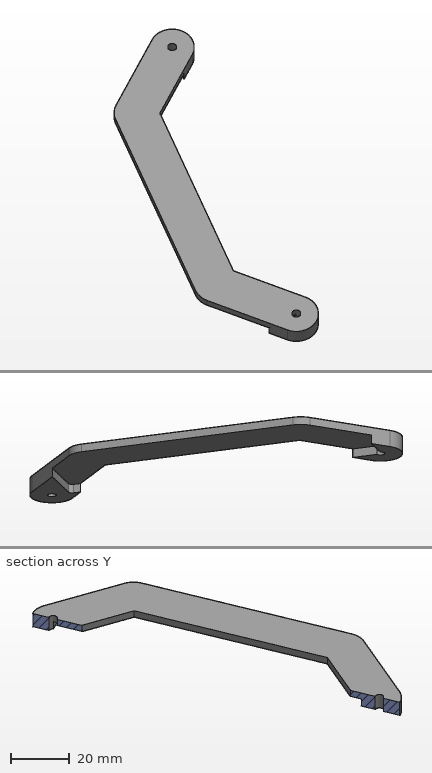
import cadquery as cq
import math

length = 134.0
depth = 36.2
half_width = 7.5
arm_angle = 45.0
hole_diameter = 3.0

thickness = 5.9
plate_thickness = 2.8
recess_depth = thickness - plate_thickness

hole_x = length / 2 - half_width
hole_y = depth - half_width
knee_y = half_width
knee_x = hole_x - (hole_y - knee_y)

recess_left = -53.2
recess_right = 59.9
recess_top = 29.0
recess_corner_radius = 1.3


def bracket(height):
    """Bent bar with round arm ends, rounded outer knees and sharp inner knees."""
    diagonal = half_width * math.sin(math.radians(arm_angle))
    outer_bend = half_width * math.tan(math.radians(arm_angle / 2))
    inner_bend_x = knee_x - outer_bend
    return (
        cq.Workplane("XY")
        .moveTo(-inner_bend_x, knee_y + half_width)
        .lineTo(-hole_x + diagonal, hole_y + diagonal)
        .threePointArc((-hole_x - diagonal, hole_y + diagonal), (-hole_x - diagonal, hole_y - diagonal))
        .lineTo(-knee_x - outer_bend, 0)
        .lineTo(knee_x + outer_bend, 0)
        .lineTo(hole_x + diagonal, hole_y - diagonal)
        .threePointArc((hole_x + diagonal, hole_y + diagonal), (hole_x - diagonal, hole_y + diagonal))
        .lineTo(inner_bend_x, knee_y + half_width)
        .close()
        .extrude(height)
        .edges("|Z").edges("<Y")
        .fillet(half_width)
    )


def recess():
    """Rectangular cutter, open at the bar side, with one rounded corner at the top left."""
    top_left = (recess_left, recess_top, recess_depth / 2)
    return (
        cq.Workplane("XY")
        .rect(recess_right - recess_left, recess_top, centered=False)
        .extrude(recess_depth)
        .translate((recess_left, 0, 0))
        .edges(cq.selectors.NearestToPointSelector(top_left))
        .fillet(recess_corner_radius)
    )


def holes():
    """Through holes at the centres of the arm ends."""
    return (
        cq.Workplane("XY")
        .pushPoints([(-hole_x, hole_y), (hole_x, hole_y)])
        .circle(hole_diameter / 2)
        .extrude(thickness)
    )


result = bracket(thickness).cut(recess()).cut(holes())